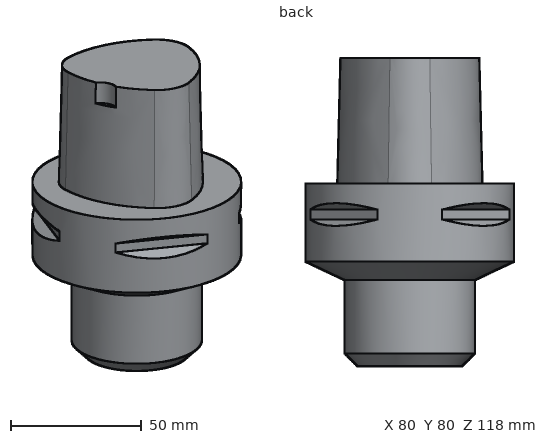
import cadquery as cq
import math

total_height = 118.0
shank_height = 48.0
flange_top = total_height - shank_height
flange_bottom = 40.0
neck_top = 32.9
base_chamfer = 5.0

flange_radius = 80.0 / 2
neck_radius = 50.0 / 2

lobe_reach = 29.9
flank_reach = 25.4
lobe_radius = 14.9
taper_inset = shank_height / 40
lobe_angles = (90, 210, 330)

notch_radius = 6.3
notch_depth_z = 8.5
notch_inner_y = -22.2

groove_root_distance = 35.6
groove_root_height = 3.7
groove_wall_angle = 30
groove_center_z = flange_top - 11.9
groove_angles = (45, 135, 225, 315)


def polar(radius, angle):
    """Point at a radius and an angle in degrees."""
    return cq.Vector(
        radius * math.cos(math.radians(angle)),
        radius * math.sin(math.radians(angle)),
    )


def make_body():
    """Revolve the flange, its conical underside and the chamfered neck."""
    profile = [
        (0, 0),
        (neck_radius - base_chamfer, 0),
        (neck_radius, base_chamfer),
        (neck_radius, neck_top),
        (flange_radius, flange_bottom),
        (flange_radius, flange_top),
        (0, flange_top),
    ]
    return cq.Workplane("XZ").polyline(profile).close().revolve(360, (0, 0), (0, 1))


def shank_outline(inset, z):
    """Three lobe arcs joined tangentially by three flank arcs, moved inward by inset."""
    lobe_center_reach = lobe_reach - lobe_radius
    radius_gap = flank_reach - lobe_radius
    flank_center_reach = (lobe_center_reach**2 - radius_gap**2) / (2 * radius_gap - lobe_center_reach)
    lobes = []
    for angle in lobe_angles:
        lobe_center = polar(lobe_center_reach, angle)
        joints = []
        for facing_angle in (angle + 120, angle - 120):
            outward = (lobe_center - polar(flank_center_reach, facing_angle)).normalized()
            joints.append(lobe_center + outward * (lobe_radius - inset))
        lobes.append(joints)

    edges = []
    for index, angle in enumerate(lobe_angles):
        lobe_start, lobe_end = lobes[index]
        next_start = lobes[(index + 1) % len(lobes)][0]
        lobe_tip = polar(lobe_reach - inset, angle)
        flank_middle = polar(flank_reach - inset, angle + 60)
        edges.append(cq.Edge.makeThreePointArc(lobe_start, lobe_tip, lobe_end))
        edges.append(cq.Edge.makeThreePointArc(lobe_end, flank_middle, next_start))
    return cq.Wire.assembleEdges(edges).translate(cq.Vector(0, 0, z))


def make_shank():
    """Straight-sided taper between the flange and the top outlines."""
    wires = [shank_outline(0, flange_top), shank_outline(taper_inset, total_height)]
    return cq.Workplane(cq.Solid.makeLoft(wires, True))


def make_notch():
    """Vertical cylinder that bites into the middle of the -Y flank."""
    return (
        cq.Workplane("XY", origin=(0, notch_inner_y - notch_radius, total_height - notch_depth_z))
        .circle(notch_radius)
        .extrude(notch_depth_z)
    )


def make_groove(angle):
    """Straight trapezoidal groove across the flange at the given angle."""
    radial_depth = flange_radius - groove_root_distance
    root_half = groove_root_height / 2
    mouth_half = root_half + radial_depth * math.tan(math.radians(groove_wall_angle))
    section = [
        (groove_root_distance, groove_center_z - root_half),
        (flange_radius, groove_center_z - mouth_half),
        (flange_radius, groove_center_z + mouth_half),
        (groove_root_distance, groove_center_z + root_half),
    ]
    groove = cq.Workplane("XZ").polyline(section).close().extrude(flange_radius, both=True)
    return groove.rotate((0, 0, 0), (0, 0, 1), angle)


result = make_body().union(make_shank()).cut(make_notch())
for groove_angle in groove_angles:
    result = result.cut(make_groove(groove_angle))